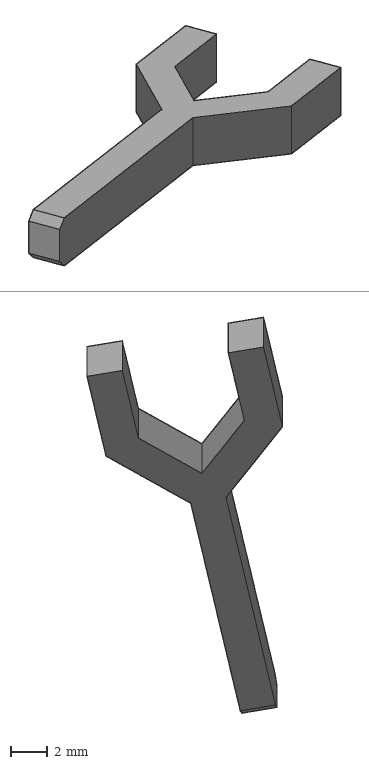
import cadquery as cq
import math

total_length = 24.0
fork_width = 10.0
thickness = 3.0
bar_width = 2.0
prong_length = 5.0
arm_angle = 45.0
tip_chamfer = 0.5

half_bar = bar_width / 2
half_fork = fork_width / 2
half_gap = half_fork - bar_width
slope = 1 / math.tan(math.radians(arm_angle))
bend_shift = half_bar * math.tan(math.radians(arm_angle / 2))

inner_bend_y = total_length - prong_length + bend_shift
outer_bend_y = total_length - prong_length - bend_shift
crotch_y = inner_bend_y - half_gap * slope
stem_top_y = outer_bend_y - (half_fork - half_bar) * slope


def make_fork():
    """Y-shaped plate, symmetric about the YZ plane and resting on Z = 0."""
    right_side = [
        (half_bar, 0),
        (half_bar, stem_top_y),
        (half_fork, outer_bend_y),
        (half_fork, total_length),
        (half_gap, total_length),
        (half_gap, inner_bend_y),
    ]
    left_side = [(-x, y) for x, y in reversed(right_side)]
    outline = right_side + [(0, crotch_y)] + left_side
    return cq.Workplane("XY").polyline(outline).close().extrude(thickness)


def chamfer_stem_tip(body):
    """Bevel the upper and lower edges of the stem's end face."""
    return body.faces("<Y").edges("|X").chamfer(tip_chamfer)


result = chamfer_stem_tip(make_fork())